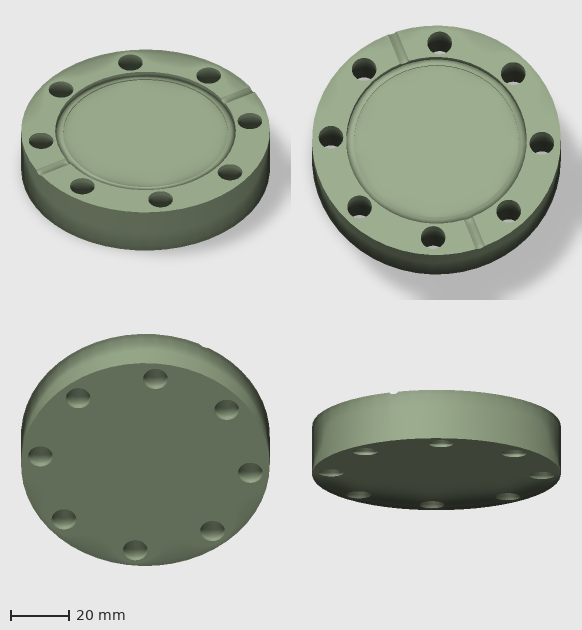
import cadquery as cq

flange_diameter = 85.2
flange_thickness = 17.3

bolt_count = 8
bolt_hole_diameter = 8.4
bolt_circle_diameter = 72.3
bolt_pitch_angle = 360.0 / bolt_count

recess_top_diameter = 61.9
recess_bottom_diameter = 61.6
recess_depth = 1.9
knife_edge_diameter = 56.5
knife_edge_depth = 0.9
inner_face_depth = 1.4

groove_width = 3.3
groove_depth = 0.8
groove_radius = (groove_width**2 / 4 + groove_depth**2) / (2 * groove_depth)


def make_flange_body():
    """Revolve the disc with its gasket recess; the top face lies at flange_thickness."""
    top = flange_thickness
    return (
        cq.Workplane("XZ")
        .moveTo(0, 0)
        .lineTo(flange_diameter / 2, 0)
        .lineTo(flange_diameter / 2, top)
        .lineTo(recess_top_diameter / 2, top)
        .lineTo(recess_bottom_diameter / 2, top - recess_depth)
        .lineTo(knife_edge_diameter / 2, top - knife_edge_depth)
        .lineTo(knife_edge_diameter / 2, top - inner_face_depth)
        .lineTo(0, top - inner_face_depth)
        .close()
        .revolve(360, (0, 0, 0), (0, 1, 0))
    )


def make_bolt_holes():
    """Through-hole cylinders, starting half a pitch away from the X axis."""
    return (
        cq.Workplane("XY")
        .polarArray(bolt_circle_diameter / 2, bolt_pitch_angle / 2, 360, bolt_count)
        .circle(bolt_hole_diameter / 2)
        .extrude(flange_thickness)
    )


def make_leak_check_groove():
    """Cylinder along Y whose lowest line lies groove_depth below the rim."""
    axis_height = flange_thickness - groove_depth + groove_radius
    return (
        cq.Workplane("XZ")
        .center(0, axis_height)
        .circle(groove_radius)
        .extrude(flange_diameter / 2, both=True)
    )


result = make_flange_body().cut(make_bolt_holes()).cut(make_leak_check_groove())